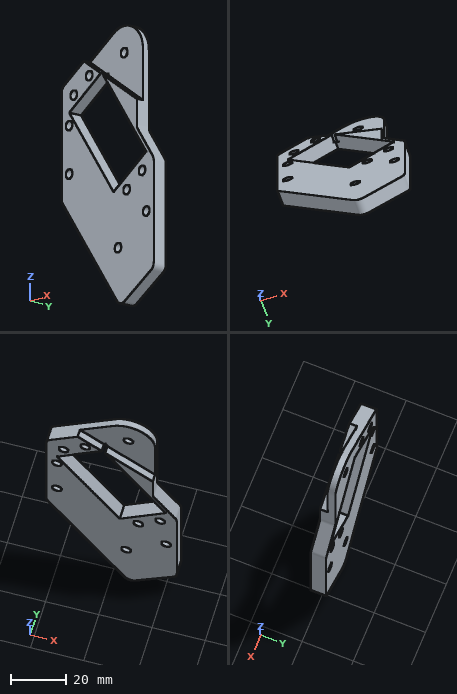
import math

import cadquery as cq

THICKNESS = 6.0
TILT = 35.0

X_LEFT = -30.0
X_RIGHT = 19.0
Z_BOTTOM = -94.0
TAB_RADIUS = 10.0
CORNER_RADIUS = 3.0
LOWER_LEFT_ACROSS = -53.7
SHOULDER_ACROSS = -9.0
UPPER_LEFT_ANGLE = 34.5
BOTTOM_ANGLE = 33.0

WINDOW_WIDTH = 21.0
WINDOW_LENGTH = 41.0
WINDOW_ACROSS = -21.2
WINDOW_ALONG = -20.6
SCREW_SPACING_ACROSS = 10.0
SCREW_SPACING_ALONG = 49.0
SCREWS_ACROSS = -21.2
SCREWS_ALONG = -20.9

HOLE_DIAMETER = 3.5
EDGE_MARGIN = 4.0
MOUNT_HOLES = [
    (0.0, 0.0),
    (0.0, -73.0),
    (X_LEFT + EDGE_MARGIN, -23.0),
    (X_LEFT + EDGE_MARGIN, -41.0),
    (X_RIGHT - EDGE_MARGIN, -62.0),
]

STEP_DEPTH = THICKNESS / 2
STEP_ANGLE = -34.0
STEP_Z = -12.65


def servo_point(across, along):
    """X and Z of a point given in the tilted servo axes."""
    tilt = math.radians(TILT)
    x = across * math.cos(tilt) - along * math.sin(tilt)
    z = across * math.sin(tilt) + along * math.cos(tilt)
    return x, z


def line(point, angle):
    """Line through a point, at an angle in degrees from X."""
    return point, (math.cos(math.radians(angle)), math.sin(math.radians(angle)))


def crossing(first, second):
    """Point where two lines meet."""
    (x1, z1), (dx1, dz1) = first
    (x2, z2), (dx2, dz2) = second
    travel = ((x2 - x1) * dz2 - (z2 - z1) * dx2) / (dx1 * dz2 - dz1 * dx2)
    return x1 + travel * dx1, z1 + travel * dz1


def upper_left_line():
    """Sloping upper left side, tangent to the rounded tab end."""
    slope = math.radians(UPPER_LEFT_ANGLE)
    tangent_point = (-TAB_RADIUS * math.sin(slope), TAB_RADIUS * math.cos(slope))
    return line(tangent_point, UPPER_LEFT_ANGLE)


def bottom_line():
    """Bottom side, set so that its rounded corner with the lower left side ends at Z_BOTTOM."""
    tilt = math.radians(TILT)
    slope = math.radians(BOTTOM_ANGLE)
    center_z = Z_BOTTOM + CORNER_RADIUS
    center_x = (LOWER_LEFT_ACROSS + CORNER_RADIUS - center_z * math.sin(tilt)) / math.cos(tilt)
    tangent_point = (
        center_x + CORNER_RADIUS * math.sin(slope),
        center_z - CORNER_RADIUS * math.cos(slope),
    )
    return line(tangent_point, BOTTOM_ANGLE)


def make_plate():
    """Plate with every corner of its outline rounded."""
    sides = [
        line((TAB_RADIUS, 0), 90),
        upper_left_line(),
        line((X_LEFT, 0), 90),
        line(servo_point(LOWER_LEFT_ACROSS, 0), TILT + 90),
        bottom_line(),
        line((X_RIGHT, 0), 90),
        line(servo_point(SHOULDER_ACROSS, 0), TILT + 90),
    ]
    corners = [crossing(side, sides[i - 1]) for i, side in enumerate(sides)]
    radii = [CORNER_RADIUS] * len(corners)
    tab_corner = 1
    radii[tab_corner] = TAB_RADIUS

    plate = cq.Workplane("XZ").polyline(corners).close().extrude(-THICKNESS)
    for (x, z), radius in zip(corners, radii):
        corner_edge = cq.selectors.NearestToPointSelector((x, THICKNESS / 2, z))
        plate = plate.edges(corner_edge).fillet(radius)
    return plate


def make_window():
    """Tilted rectangular opening for the servo body."""
    return (
        cq.Workplane("XZ")
        .center(*servo_point(WINDOW_ACROSS, WINDOW_ALONG))
        .transformed(rotate=(0, 0, TILT))
        .rect(WINDOW_WIDTH, WINDOW_LENGTH)
        .extrude(-THICKNESS)
    )


def make_holes():
    """Mounting holes and the four servo screw holes."""
    screws = [
        servo_point(
            SCREWS_ACROSS + side * SCREW_SPACING_ACROSS / 2,
            SCREWS_ALONG + end * SCREW_SPACING_ALONG / 2,
        )
        for side in (-1, 1)
        for end in (-1, 1)
    ]
    return (
        cq.Workplane("XZ")
        .pushPoints(MOUNT_HOLES + screws)
        .circle(HOLE_DIAMETER / 2)
        .extrude(-THICKNESS)
    )


def make_step():
    """Block that clears the front half of the plate above the step line."""
    block_size = 2 * (X_RIGHT - X_LEFT)
    slope = math.radians(STEP_ANGLE)
    half = block_size / 2
    return (
        cq.Workplane("XZ")
        .center(-half * math.sin(slope), STEP_Z + half * math.cos(slope))
        .transformed(rotate=(0, 0, STEP_ANGLE))
        .rect(block_size, block_size)
        .extrude(-STEP_DEPTH)
    )


result = make_plate().cut(make_window()).cut(make_holes()).cut(make_step())